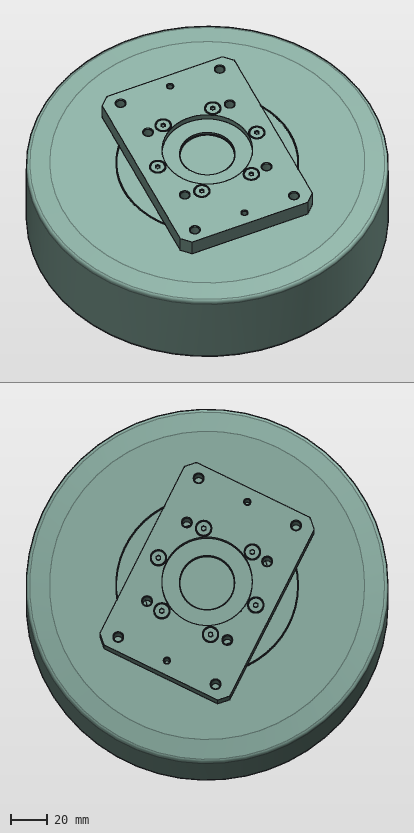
import cadquery as cq
import math

body_radius = 100.0
body_height = 50.0
flat_face_radius = 87.0
rim_drop = 1.0
edge_radius = 2.0

neck_diameter = 70.0
neck_height = 1.0
hub_diameter = 100.0
groove_width = 0.5
groove_depth = 1.0

plate_length = 115.0
plate_width = 80.0
plate_thickness = 10.0
plate_corner_chamfer = 5.0
plate_bottom = body_height + neck_height
plate_top = plate_bottom + plate_thickness

recess_diameter = 50.0
recess_depth = 3.5
center_bore_diameter = 30.5
center_bore_depth = 1.5
center_floor_diameter = 30.0
center_floor_depth = 0.5

screw_count = 6
screw_circle_radius = 30.0
screw_seat_diameter = 9.0
screw_head_diameter = 8.0
screw_gap_depth = 1.0
socket_corner_diameter = 2.8
socket_depth = 1.2

threaded_diameter = 5.0
threaded_mouth_diameter = 6.0
dowel_diameter = 3.0
dowel_mouth_diameter = 4.0
dowel_depth = 8.0
corner_hole_x = 50.0
corner_hole_y = 30.0
inner_hole_offset = neck_diameter / 2 * math.cos(math.radians(45))


def disc(diameter, bottom, height):
    """Upright cylinder centred on the Z axis."""
    return cq.Workplane("XY").workplane(offset=bottom).circle(diameter / 2).extrude(height)


def ring(outer_diameter, inner_diameter, top, depth):
    """Annular cutter reaching down from a given height."""
    sketch = cq.Workplane("XY").workplane(offset=top).circle(outer_diameter / 2)
    return sketch.circle(inner_diameter / 2).extrude(-depth)


def make_body():
    """Disc with slightly coned faces and rounded rims, plus the groove around its hub."""
    shoulder_radius = body_radius - edge_radius
    arc_offset = edge_radius * math.sin(math.radians(45))
    bottom_arc_center = rim_drop + edge_radius
    top_arc_center = body_height - bottom_arc_center
    profile = (
        cq.Workplane("XZ")
        .lineTo(flat_face_radius, 0)
        .lineTo(shoulder_radius, rim_drop)
        .threePointArc(
            (shoulder_radius + arc_offset, bottom_arc_center - arc_offset),
            (body_radius, bottom_arc_center),
        )
        .lineTo(body_radius, top_arc_center)
        .threePointArc(
            (shoulder_radius + arc_offset, top_arc_center + arc_offset),
            (shoulder_radius, body_height - rim_drop),
        )
        .lineTo(flat_face_radius, body_height)
        .lineTo(0, body_height)
        .close()
    )
    body = profile.revolve(360, (0, 0, 0), (0, 1, 0))
    groove = ring(hub_diameter + 2 * groove_width, hub_diameter, body_height, groove_depth)
    return body.cut(groove)


def make_plate():
    """Rectangular plate with chamfered corners."""
    plate = cq.Workplane("XY").workplane(offset=plate_bottom)
    plate = plate.rect(plate_length, plate_width).extrude(plate_thickness)
    return plate.edges("|Z").chamfer(plate_corner_chamfer)


def plate_hole(diameter, mouth_diameter, depth):
    """Cutter for a hole sunk from the plate top, with a 45 degree chamfered mouth."""
    mouth_radius = mouth_diameter / 2
    hole_radius = diameter / 2
    profile = [
        (0, plate_top - depth),
        (hole_radius, plate_top - depth),
        (hole_radius, plate_top - (mouth_radius - hole_radius)),
        (mouth_radius, plate_top),
        (0, plate_top),
    ]
    return cq.Workplane("XZ").polyline(profile).close().revolve(360, (0, 0, 0), (0, 1, 0))


def cut_at(part, cutter, points):
    """Cut a copy of the cutter out of the part at each (x, y) point."""
    for x, y in points:
        part = part.cut(cutter.translate((x, y, 0)))
    return part


def four_corners(x, y):
    """Points mirrored into all four quadrants."""
    return [(x, y), (-x, y), (-x, -y), (x, -y)]


def screw_points():
    """Screw positions, the first one on the +Y axis."""
    angles = [math.radians(90 + 360 * i / screw_count) for i in range(screw_count)]
    return [(screw_circle_radius * math.cos(a), screw_circle_radius * math.sin(a)) for a in angles]


neck = disc(neck_diameter, body_height, neck_height)
result = make_body().union(neck).union(make_plate())

recess_floor = plate_top - recess_depth
center_step = recess_floor - center_bore_depth
center_floor = center_step - center_floor_depth
result = result.cut(disc(recess_diameter, recess_floor, recess_depth))
result = result.cut(disc(center_bore_diameter, center_step, center_bore_depth))
result = result.cut(disc(center_floor_diameter, center_floor, center_floor_depth))

head_gap = ring(screw_seat_diameter, screw_head_diameter, plate_top, screw_gap_depth)
socket = cq.Workplane("XY").workplane(offset=plate_top).polygon(6, socket_corner_diameter)
socket = socket.extrude(-socket_depth).rotate((0, 0, 0), (0, 0, 1), 90)
result = cut_at(result, head_gap.union(socket), screw_points())

threaded_hole = plate_hole(threaded_diameter, threaded_mouth_diameter, plate_thickness)
dowel_hole = plate_hole(dowel_diameter, dowel_mouth_diameter, dowel_depth)
result = cut_at(result, threaded_hole, four_corners(corner_hole_x, corner_hole_y))
result = cut_at(result, threaded_hole, four_corners(inner_hole_offset, inner_hole_offset))
result = cut_at(result, dowel_hole, [(corner_hole_x, 0), (-corner_hole_x, 0)])